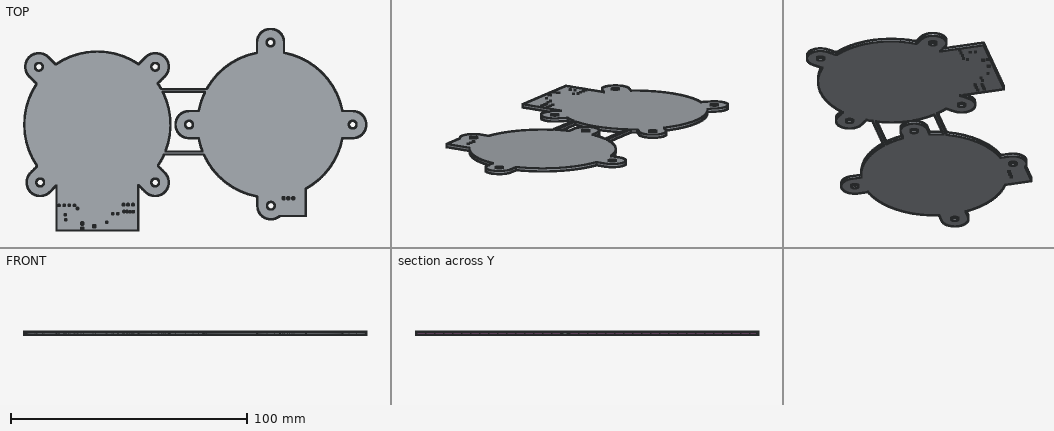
import cadquery as cq
import math

thickness = 1.5
disc_radius = 31.0
lug_radius = 5.8
screw_hole_diameter = 3.2
screw_circle_radius = 34.8
right_disc_x = 73.4

diagonal_offset = 24.5
left_screws = [
    (-24.8, diagonal_offset),
    (diagonal_offset, diagonal_offset),
    (diagonal_offset, -diagonal_offset),
    (-24.2, -diagonal_offset),
]
right_screws = [
    (0, screw_circle_radius),
    (screw_circle_radius, 0),
    (0.1, -34.4),
    (-34.5, 0),
]

left_tab_half_width = 17.4
left_tab_bottom = -45.0
right_tab_width = 15.0
right_tab_bottom = -38.7

bridge_width = 1.3
bridge_heights = [14.5, -12.0]

via_diameter = 0.5
left_pin_diameter = 0.65
right_pin_diameter = 0.8
pad_diameter = 0.99
pin_pitch = 2.0
left_pin_start = (11.0, -34.0)
right_pin_start = (right_disc_x + 5.5, -31.2)
pins_per_row = 3
contact_start = (11.3, -36.9)
contact_pitch = 1.3
contacts_per_row = 4
via_row_start = (-16.3, -34.2)
via_row_pitch = 2.2
vias_per_row = 4
loose_vias = [
    (-8.4, -35.5),
    (-13.6, -38.2),
    (-13.3, -40.3),
    (3.9, -41.4),
    (6.5, -37.7),
    (8.7, -37.7),
]
pad_holes = [(-6.4, -42.0), (-6.4, -44.1), (-1.3, -43.1)]


def box(x_min, x_max, y_min, y_max):
    """Full-thickness rectangular plate between the given limits."""
    width = x_max - x_min
    depth = y_max - y_min
    return cq.Workplane("XY").box(width, depth, thickness, centered=False).translate((x_min, y_min, 0))


def lug(x, y):
    """Round-ended arm running from the disc centre to a screw position."""
    reach = math.hypot(x, y)
    angle = math.degrees(math.atan2(y, x))
    arm = box(0, reach, -lug_radius, lug_radius)
    end = cq.Workplane("XY").center(reach, 0).circle(lug_radius).extrude(thickness)
    return arm.union(end).rotate((0, 0, 0), (0, 0, 1), angle)


def lugged_disc(screws):
    """Disc with one drilled lug at each screw position."""
    body = cq.Workplane("XY").circle(disc_radius).extrude(thickness)
    for x, y in screws:
        body = body.union(lug(x, y))
    return drill(body, screws, screw_hole_diameter)


def drill(body, points, diameter):
    """Cut through holes of one diameter at the given points."""
    holes = cq.Workplane("XY").pushPoints(points).circle(diameter / 2).extrude(thickness)
    return body.cut(holes)


def row(start, pitch, count):
    """Evenly spaced points along X."""
    x, y = start
    return [(x + i * pitch, y) for i in range(count)]


left_tab = box(-left_tab_half_width, left_tab_half_width, left_tab_bottom, 0)
left_board = lugged_disc(left_screws).union(left_tab)

right_tab = box(screw_hole_diameter, right_tab_width, right_tab_bottom, 0)
right_board = lugged_disc(right_screws).union(right_tab).translate((right_disc_x, 0, 0))

board = left_board.union(right_board)
bridge_inset = disc_radius / 2
for y in bridge_heights:
    bridge = box(bridge_inset, right_disc_x - bridge_inset, y - bridge_width / 2, y + bridge_width / 2)
    board = board.union(bridge)

left_pins = row(left_pin_start, pin_pitch, pins_per_row)
right_pins = row(right_pin_start, pin_pitch, pins_per_row)
contacts = row(contact_start, contact_pitch, contacts_per_row)
via_row = row(via_row_start, via_row_pitch, vias_per_row)
board = drill(board, left_pins, left_pin_diameter)
board = drill(board, right_pins, right_pin_diameter)
board = drill(board, contacts + via_row + loose_vias, via_diameter)
result = drill(board, pad_holes, pad_diameter)